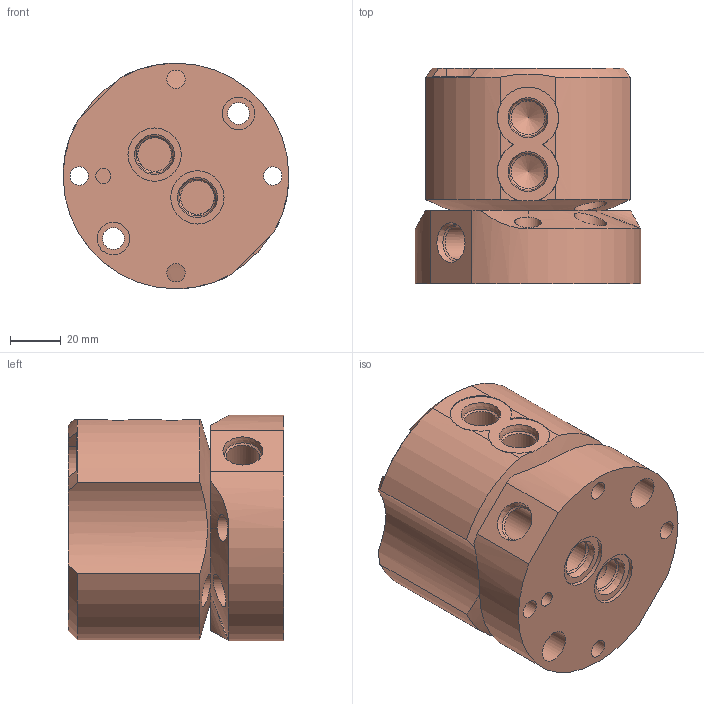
import cadquery as cq
import math

TOTAL_LENGTH = 84.84

FLANGE_RADIUS = 44.45
FLANGE_THICKNESS = 28.8
FLANGE_RIM_LENGTH = 21.6
RELIEF_INNER_RADIUS = 25.9
RELIEF_BLEND_RADIUS = 35.5
FLANGE_FLAT_DISTANCE = 42.9

BODY_RADIUS = 44.05
BODY_CONE_END = 33.1
BODY_NECK_RADIUS = 29.2
BODY_CHAMFER = 3.55
BODY_FLAT_HEIGHT = 42.7
SCALLOP_OFFSET = 60.7
SCALLOP_RADIUS = 27.2

PIN_CIRCLE_RADIUS = 38.1
PIN_HOLE_DIAMETER = 7.3
PIN_COUNTERBORE_DIAMETER = 10.45
PIN_SEAT_Y = 12.0
BOLT_OFFSET = 24.65
BOLT_HOLE_DIAMETER = 8.6
BOLT_COUNTERBORE_DIAMETER = 12.9
BOLT_SEAT_Y = 70.0
DOWEL_X = -28.6
DOWEL_DIAMETER = 5.9
DOWEL_DEPTH = 10.0

NOTCH_RADIUS = 10.65
NOTCH_DEPTH = 3.3

PORT_MOUTH_DIAMETER = 15.7
PORT_MOUTH_DEPTH = 2.8
PORT_BEVEL_DIAMETER = 14.6
PORT_BORE_DIAMETER = 13.3
DRILL_POINT_ANGLE = 118.0
FACE_PORT_OFFSET = 8.43
FACE_PORT_RECESS_DIAMETER = 21.0
FACE_PORT_RECESS_DEPTH = 1.6
FACE_PORT_DEPTH = 25.0
SIDE_PORT_Y = 16.1
TOP_PORT_YS = (44.05, 65.3)
TOP_PORT_SPOTFACE_RADIUS = 12.05
TOP_PORT_SPOTFACE_DEPTH = 0.4
TOP_PORT_DEPTH = 20.0

MARGIN = 10.0
DIAGONAL = math.sqrt(0.5)
AXIS_Y = cq.Vector(0, 1, 0)


def y_cylinder(x, z, diameter, y_start, y_end):
    """Cylinder parallel to Y between two Y positions."""
    base = cq.Vector(x, y_start, z)
    return cq.Workplane(cq.Solid.makeCylinder(diameter / 2, y_end - y_start, base, AXIS_Y))


def revolve_about_y(points):
    """Full revolution of an outline of (radius, y) points about Y."""
    return cq.Workplane("XY").polyline(points).close().revolve(360, (0, 0, 0), (0, 1, 0))


def half_turn(tool):
    """Same tool turned half way round the part axis."""
    return tool.rotate((0, 0, 0), (0, 1, 0), 180)


def diagonal_mirror(tool):
    """Reflect a tool in the plane x = z."""
    return tool.mirror("XY").rotate((0, 0, 0), (0, 1, 0), 90)


def relief_quadrant():
    """Conical relief over the +X +Z quadrant of the flange back."""
    slope = (FLANGE_THICKNESS - FLANGE_RIM_LENGTH) / (FLANGE_RADIUS - RELIEF_INNER_RADIUS)
    outer = FLANGE_RADIUS + MARGIN
    ring = revolve_about_y([
        (RELIEF_INNER_RADIUS, FLANGE_THICKNESS),
        (outer, FLANGE_RIM_LENGTH - slope * MARGIN),
        (outer, FLANGE_THICKNESS),
    ])
    quadrant = cq.Workplane("XY").box(outer, 2 * TOTAL_LENGTH, outer, centered=(False, True, False))
    return ring.intersect(quadrant)


def relief_blend():
    """Trough tangent to the relief slope at x = 0, rising toward -X."""
    run = FLANGE_RADIUS - RELIEF_INNER_RADIUS
    drop = FLANGE_THICKNESS - FLANGE_RIM_LENGTH
    slope_plane = cq.Plane(
        origin=(0, FLANGE_THICKNESS + drop, RELIEF_INNER_RADIUS - run),
        xDir=(1, 0, 0),
        normal=(0, -drop, run),
    )
    radius = RELIEF_BLEND_RADIUS
    trough = (
        cq.Workplane(slope_plane)
        .moveTo(0, 0)
        .threePointArc((-radius * DIAGONAL, radius * (1 - DIAGONAL)), (-radius, radius))
        .lineTo(0, radius)
        .close()
        .extrude(2 * FLANGE_RADIUS)
    )
    keep = (
        cq.Workplane("XY")
        .box(FLANGE_RADIUS, FLANGE_THICKNESS, 2 * FLANGE_RADIUS, centered=False)
        .translate((-FLANGE_RADIUS, 0, 0))
    )
    return trough.intersect(keep)


def drill_flange(flange):
    """Four counterbored pin holes around the flange, and a blind dowel hole."""
    bore_radius = PIN_HOLE_DIAMETER / 2
    seat_radius = PIN_COUNTERBORE_DIAMETER / 2
    pin_tool = revolve_about_y([
        (0, -MARGIN),
        (bore_radius, -MARGIN),
        (bore_radius, PIN_SEAT_Y),
        (seat_radius, PIN_SEAT_Y),
        (seat_radius, FLANGE_THICKNESS),
        (0, FLANGE_THICKNESS),
    ])
    pin_tool = pin_tool.rotate((0, 0, 0), (0, 1, 0), 45).translate((PIN_CIRCLE_RADIUS, 0, 0))
    for quarter in range(4):
        flange = flange.cut(pin_tool.rotate((0, 0, 0), (0, 1, 0), 90 * quarter))
    return flange.cut(y_cylinder(DOWEL_X, 0, DOWEL_DIAMETER, 0, DOWEL_DEPTH))


def make_flange():
    flange = y_cylinder(0, 0, 2 * FLANGE_RADIUS, 0, FLANGE_THICKNESS)
    flat_width = 2 * FLANGE_FLAT_DISTANCE
    slab = (
        cq.Workplane("XY")
        .box(flat_width, 3 * FLANGE_THICKNESS, 4 * FLANGE_RADIUS)
        .rotate((0, 0, 0), (0, 1, 0), 45)
    )
    flange = flange.intersect(slab)
    blend = relief_blend()
    relief = relief_quadrant().union(blend)
    for tool in (relief, diagonal_mirror(blend)):
        flange = flange.cut(tool).cut(half_turn(tool))
    return drill_flange(flange)


def make_body():
    back_radius = BODY_RADIUS - BODY_CHAMFER
    body = revolve_about_y([
        (0, FLANGE_THICKNESS),
        (BODY_NECK_RADIUS, FLANGE_THICKNESS),
        (BODY_RADIUS, BODY_CONE_END),
        (BODY_RADIUS, TOTAL_LENGTH - BODY_CHAMFER),
        (back_radius, TOTAL_LENGTH),
        (0, TOTAL_LENGTH),
    ])
    above_flat = (
        cq.Workplane("XY")
        .box(2 * BODY_RADIUS, 2 * TOTAL_LENGTH, MARGIN, centered=(True, True, False))
        .translate((0, 0, BODY_FLAT_HEIGHT))
    )
    body = body.cut(above_flat)
    for side in (-1, 1):
        scallop = y_cylinder(
            side * SCALLOP_OFFSET, 0, 2 * SCALLOP_RADIUS, FLANGE_THICKNESS, TOTAL_LENGTH
        )
        body = body.cut(scallop)
    return body.cut(back_notch())


def back_notch():
    """Round-ended notch in the back face, open toward -X +Z."""
    floor_y = TOTAL_LENGTH - NOTCH_DEPTH
    centre_radius = BOLT_OFFSET / DIAGONAL
    end = y_cylinder(-centre_radius, 0, 2 * NOTCH_RADIUS, floor_y, TOTAL_LENGTH)
    channel = (
        cq.Workplane("XY")
        .box(BODY_RADIUS, NOTCH_DEPTH, 2 * NOTCH_RADIUS, centered=(False, False, True))
        .translate((-centre_radius - BODY_RADIUS, floor_y, 0))
    )
    return end.union(channel).rotate((0, 0, 0), (0, 1, 0), 45)


def port_tool(depth, pointed):
    """Tapered-mouth port bore about +Z, with its mouth at z = 0 and running toward -Z."""
    mouth_radius = PORT_MOUTH_DIAMETER / 2
    bevel_radius = PORT_BEVEL_DIAMETER / 2
    bore_radius = PORT_BORE_DIAMETER / 2
    bevel_end = PORT_MOUTH_DEPTH + bevel_radius - bore_radius
    point = bore_radius / math.tan(math.radians(DRILL_POINT_ANGLE / 2)) if pointed else 0.0
    outline = [
        (0, MARGIN),
        (mouth_radius, MARGIN),
        (mouth_radius, 0),
        (bevel_radius, -PORT_MOUTH_DEPTH),
        (bore_radius, -bevel_end),
        (bore_radius, -depth),
        (0, -depth - point),
    ]
    return cq.Workplane("XZ").polyline(outline).close().revolve(360, (0, 0, 0), (0, 1, 0))


def cut_top_ports(part):
    seat_z = BODY_FLAT_HEIGHT - TOP_PORT_SPOTFACE_DEPTH
    tool = port_tool(TOP_PORT_DEPTH, pointed=True)
    for y in TOP_PORT_YS:
        spotface = (
            cq.Workplane("XY").circle(TOP_PORT_SPOTFACE_RADIUS).extrude(MARGIN).translate((0, y, seat_z))
        )
        part = part.cut(spotface).cut(tool.translate((0, y, seat_z)))
    return part


def cut_flange_ports(part):
    """Two ports in the flange face, each met by a port from a diagonal flat."""
    face_port = (
        port_tool(FACE_PORT_DEPTH, pointed=False)
        .rotate((0, 0, 0), (1, 0, 0), 90)
        .translate((-FACE_PORT_OFFSET, FACE_PORT_RECESS_DEPTH, FACE_PORT_OFFSET))
    )
    recess = y_cylinder(
        -FACE_PORT_OFFSET, FACE_PORT_OFFSET, FACE_PORT_RECESS_DIAMETER, 0, FACE_PORT_RECESS_DEPTH
    )
    side_depth = FLANGE_FLAT_DISTANCE - FACE_PORT_OFFSET / DIAGONAL
    side_port = (
        port_tool(side_depth, pointed=False)
        .translate((0, SIDE_PORT_Y, FLANGE_FLAT_DISTANCE))
        .rotate((0, 0, 0), (0, 1, 0), -45)
    )
    for tool in (face_port, recess, side_port):
        part = part.cut(tool).cut(half_turn(tool))
    return part


def cut_bolt_holes(part):
    """Two through holes with deep counterbores entered from the flange face."""
    for side in (-1, 1):
        offset = side * BOLT_OFFSET
        part = part.cut(y_cylinder(offset, offset, BOLT_HOLE_DIAMETER, 0, TOTAL_LENGTH))
        part = part.cut(y_cylinder(offset, offset, BOLT_COUNTERBORE_DIAMETER, 0, BOLT_SEAT_Y))
    return part


result = make_flange().union(make_body())
result = cut_top_ports(result)
result = cut_flange_ports(result)
result = cut_bolt_holes(result)